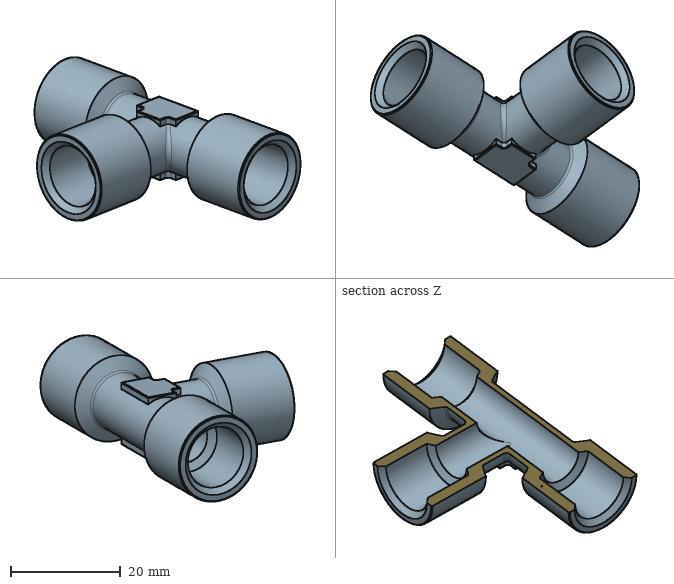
import cadquery as cq
import math

reach = 26.0
neck_radius = 5.54
bore_radius = 4.25
crotch_fillet = 0.8
port_directions = [(1, 0, 0), (-1, 0, 0), (0, -1, 0)]

collar_radius = 8.24
collar_length = 13.1
rim_chamfer = 0.2
shoulder_half_angle = math.radians(60)
shoulder_fillet = 0.5

socket_radius = 5.8
socket_depth = 10.9
mouth_radius = 6.89
drill_tip_half_angle = math.radians(59)

pad_half_length = 5.0
pad_half_width = 2.95
pad_height = 6.05
pad_corner_fillet = 0.7
pad_chamfer = 0.15

collar_start = reach - collar_length
shoulder_length = (collar_radius - neck_radius) / math.tan(shoulder_half_angle)
neck_end = collar_start - shoulder_length
socket_end = reach - socket_depth
drill_tip_length = (socket_radius - bore_radius) / math.tan(drill_tip_half_angle)
mouth_depth = mouth_radius - socket_radius


def port_sketch(direction):
    """Sketch with local X across the port axis and local Y outward along it."""
    across = cq.Vector(0, 0, 1)
    normal = across.cross(cq.Vector(*direction))
    return cq.Workplane(cq.Plane(origin=(0, 0, 0), xDir=across, normal=normal))


def spin(profile):
    """Revolve a closed profile about the port axis."""
    return profile.close().revolve(360, (0, 0), (0, 1))


def port_body(direction):
    """Neck, filleted conical shoulder and collar of one port, without its bore."""
    tangent = shoulder_fillet * math.tan(shoulder_half_angle / 2)
    fillet_start = (neck_radius, neck_end - tangent)
    fillet_middle = (
        neck_radius + shoulder_fillet * (1 - math.cos(shoulder_half_angle / 2)),
        neck_end - tangent + shoulder_fillet * math.sin(shoulder_half_angle / 2),
    )
    fillet_end = (
        neck_radius + tangent * math.sin(shoulder_half_angle),
        neck_end + tangent * math.cos(shoulder_half_angle),
    )
    profile = (
        port_sketch(direction)
        .lineTo(neck_radius, 0)
        .lineTo(*fillet_start)
        .threePointArc(fillet_middle, fillet_end)
        .lineTo(collar_radius, collar_start)
        .lineTo(collar_radius, reach - rim_chamfer)
        .lineTo(collar_radius - rim_chamfer, reach)
        .lineTo(0, reach)
    )
    return spin(profile)


def port_bore(direction):
    """Passage, drill tip cone, socket and countersunk mouth of one port."""
    profile = (
        port_sketch(direction)
        .lineTo(bore_radius, 0)
        .lineTo(bore_radius, socket_end - drill_tip_length)
        .lineTo(socket_radius, socket_end)
        .lineTo(socket_radius, reach - mouth_depth)
        .lineTo(mouth_radius, reach)
        .lineTo(0, reach)
    )
    return spin(profile)


def tee_body():
    """The three ports joined, with the crotch between their necks rounded."""
    body = cq.Workplane("XY")
    for direction in port_directions:
        body = body.union(port_body(direction))
    return body.edges("%ELLIPSE").fillet(crotch_fillet)


def pads():
    """T-shaped prism through the tee centre whose two ends form the flat pads."""
    bar = cq.Workplane("XY").box(2 * pad_half_length, 2 * pad_half_width, 2 * pad_height)
    leg = (
        cq.Workplane("XY")
        .box(2 * pad_half_width, pad_half_length, 2 * pad_height)
        .translate((0, -pad_half_length / 2, 0))
    )
    prism = bar.union(leg)
    for side in (-1, 1):
        corner = cq.selectors.NearestToPointSelector((side * pad_half_width, -pad_half_width, 0))
        prism = prism.edges("|Z").edges(corner).fillet(pad_corner_fillet)
    return prism.faces("|Z").chamfer(pad_chamfer)


result = tee_body().union(pads())
for port_direction in port_directions:
    result = result.cut(port_bore(port_direction))